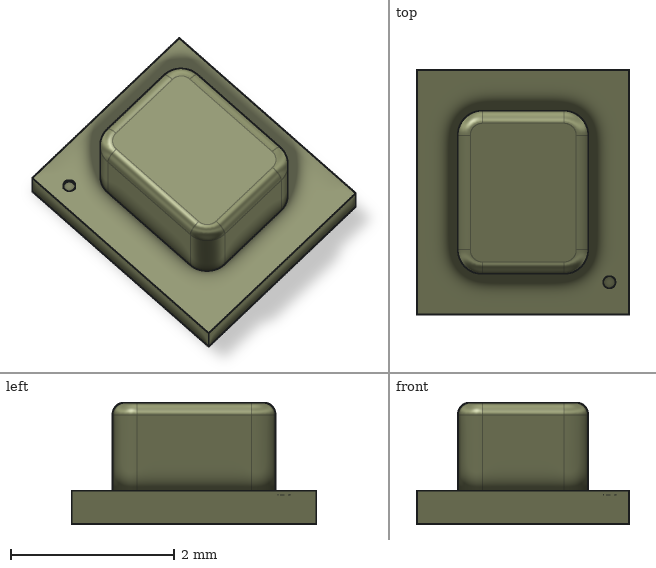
import cadquery as cq

plate_width = 2.6
plate_length = 3.0
plate_thickness = 0.41

total_height = 1.49
cap_width = 1.6
cap_length = 2.0
cap_height = total_height - plate_thickness
cap_corner_radius = 0.3
cap_top_radius = 0.15

marker_diameter = 0.15
marker_depth = 0.05
marker_x = 1.06
marker_y = -1.1


def make_plate():
    """Rectangular plate with a blind round marker in its upper face."""
    plate = cq.Workplane("XY").box(
        plate_width, plate_length, plate_thickness, centered=(True, True, False)
    )
    marker = (
        cq.Workplane("XY", origin=(marker_x, marker_y, plate_thickness - marker_depth))
        .circle(marker_diameter / 2)
        .extrude(marker_depth)
    )
    return plate.cut(marker)


def make_cap():
    """Block with rounded upright corners and a rounded top rim."""
    return (
        cq.Workplane("XY", origin=(0, 0, plate_thickness))
        .box(cap_width, cap_length, cap_height, centered=(True, True, False))
        .edges("|Z")
        .fillet(cap_corner_radius)
        .faces(">Z")
        .edges()
        .fillet(cap_top_radius)
    )


plate = make_plate()
cap = make_cap()

result = cq.Compound.makeCompound([plate.val(), cap.val()])